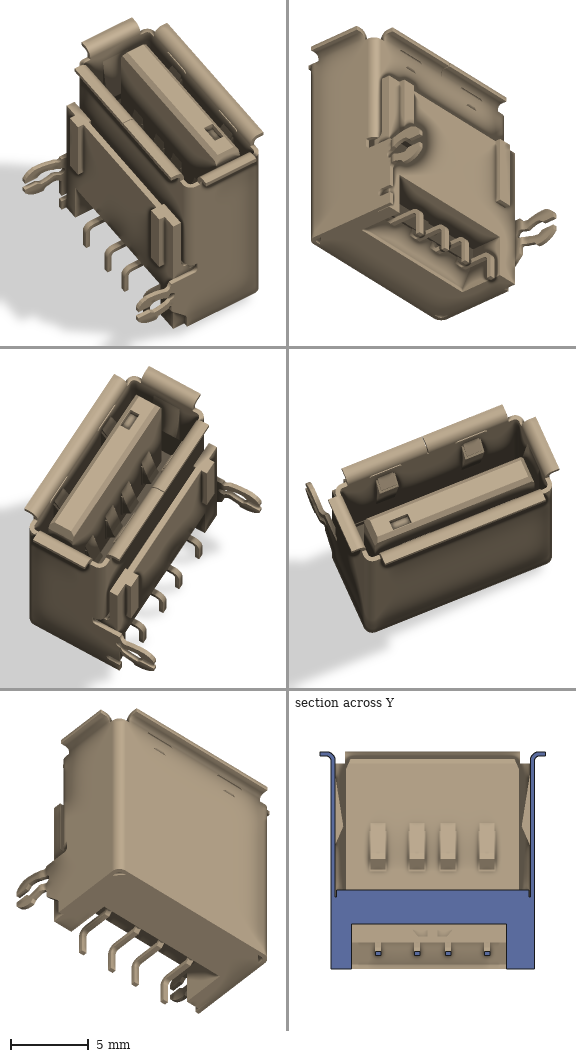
import cadquery as cq
import math

sheet = 0.3
half_width = 6.55
half_depth = 2.85
inner_half_width = half_width - sheet
inner_half_depth = half_depth - sheet
corner_radius = 0.6
rim_z = 13.2
top_z = 13.97

lip_inner_radius = 0.3
lip_outer_radius = lip_inner_radius + sheet
lip_reach = 0.7
front_lip_length = 11.22
side_lip_length = 3.87
seam_width = 0.06

front_wall_bottom_z = 5.65
panel_front_y = -4.14
panel_top_z = 4.88
relief_back_y = -2.11
relief_radius = 0.27
panel_overlap = 0.45
notch_low_z = 0.82
notch_high_z = 1.35
notch_back_y = -3.15
cutaway_top_z = 2.23
cutaway_back_y = -2.93
cutaway_corner = 0.12
cutaway_rise = cutaway_back_y - cutaway_corner - panel_front_y
tail_offset = 0.2
first_bend_offset = 0.06
first_bend_end_y = -4.3
first_bend_radius = 0.25
second_bend_end_y = -4.65
second_bend_radius = 0.55
tail_tip_y = -6.82

slot_low_z = 3.42
slot_high_z = 4.0
slot_mouth_y = -4.15
slot_root_y = -3.87
prong_inner_y = -4.61
lower_fillet = [(panel_front_y, 2.7), (-4.2, 2.83), (-4.33, 2.89)]
lower_belly = [(-4.65, 2.85), (-5.24, 2.71), (-5.4, 2.47)]
lower_tip = [(-6.23, 2.62), (tail_tip_y, 3.1)]
lower_hook = [(-5.86, slot_low_z), (-5.57, 3.2)]
lower_inner_mid = (-5.06, 3.27)
upper_inner_mid = (-5.09, 4.2)
upper_hook = [(-5.62, 4.24), (-5.9, slot_high_z)]
upper_tip = [(tail_tip_y, 4.32), (-6.7, 4.51), (-6.49, 4.7), (-6.1, 4.88)]
upper_back = [(-5.35, 4.84), (-4.65, 4.65)]
upper_fillet = [(-4.33, 4.65), (-4.2, 4.73), (panel_front_y, panel_top_z)]

floor_z = 5.1
shoulder_z = 5.57
shoulder_back_y = -2.53
floor_gap = 0.05
floor_gap_depth = 0.45
back_chamfer = 0.58
plate_half_width = 6.2
plate_back_y = -3.18
plate_front_y = -3.78
plate_top_z = 9.94
plate_root_height = 0.35
plate_root_width = 0.22
back_hollow_depth = 0.18
rib_front_y = -4.2
rib_width = 0.95
rib_outer_x = 5.21
rib_bottom_z = 5.33

recess_left_x = -5.21
recess_right_x = 4.72
recess_top_z = 2.89
recess_back_y = -1.49
slope_top_z = 1.7
slope_bottom_z = 0.28
slope_front_y = -1.34
slope_back_y = -0.6
mark_depth = 0.12
mark_inner_x = 0.31
mark_bottom_z = 2.07
mark_barb = [(0.92, mark_bottom_z), (1.34, 2.56), (1.3, 2.71), (0.98, 2.71)]
mark_neck_x = 0.95

tongue_half_width = 5.57
tongue_front_y = -0.03
tongue_back_y = 1.79
tongue_top_z = 13.48
tongue_chamfer = 0.3
tongue_end_chamfer_height = 0.67
pocket_left_x = 2.85
pocket_right_x = 4.15
pocket_front_y = 0.79
pocket_back_y = 1.46
pocket_depth = 0.54

pin_positions = (-3.5, -1.0, 1.0, 3.5)
pin_width = 0.39
pin_front_y = rib_front_y
pin_bottom_z = -0.91
pin_run_z = 1.05
pin_back_bend_y = -1.41

contact_width = 0.97
contact_root_width = 1.09
contact_root_depth = 0.13
contact_top_z = 9.37
contact_bottom_z = 6.25
contact_shoulder = (-0.58, 7.44)
contact_crest = (-0.79, 7.04)
contact_root_top_z = 8.85

spring_x = 2.99
spring_width = 1.32
spring_reach = 0.57
spring_ridge_width = 1.07
spring_wing_drop = 0.24
spring_wing_reach = 0.65
spring_crest_drop = 0.9
spring_top_z = 12.42
side_spring_width = 1.93
side_spring_reach = 0.52
side_spring_crest_drop = 3.27
spring_foot_drop = 4.46
crease_length = 2.2
crease_height = 0.13
crease_depth = 0.06
slit_top_z = 12.41
slit_bottom_z = 12.2
slit_width = 1.01
slit_depth = 0.21


def block(x0, x1, y0, y1, z0, z1):
    """Box between two opposite corners."""
    return cq.Workplane("XY").box(x1 - x0, y1 - y0, z1 - z0, centered=False).translate((x0, y0, z0))


def along_x(profile, length, centre_x=0):
    """Extrude a closed YZ profile symmetrically about centre_x."""
    return profile.extrude(length / 2, both=True).translate((centre_x, 0, 0))


def on_four_sides(front, side):
    """Mirror a front shape to the back and a +X shape to -X."""
    return front.union(front.mirror("XZ")).union(side).union(side.mirror("YZ"))


def against_front_wall(shape, wall_distance):
    """Move a shape drawn with +Y outward onto the front wall."""
    return shape.rotate((0, 0, 0), (0, 0, 1), 180).translate((0, -wall_distance, 0))


def against_side_wall(shape, wall_distance):
    """Move a shape drawn with +Y outward onto the +X wall."""
    return shape.rotate((0, 0, 0), (0, 0, 1), -90).translate((wall_distance, 0, 0))


def shell_tube():
    outer = block(-half_width, half_width, -half_depth, half_depth, 0, rim_z)
    outer = outer.edges("|Z").fillet(corner_radius)
    inner = block(-inner_half_width, inner_half_width, -inner_half_depth, inner_half_depth, 0, rim_z)
    inner = inner.edges("|Z").fillet(corner_radius - sheet)
    open_front = block(-half_width, half_width, -half_depth, relief_back_y, 0, front_wall_bottom_z)
    return outer.cut(inner).cut(open_front)


def lip(length):
    """Flared lip; Y = 0 is the outer wall face and +Y points outward."""
    bend_z = top_z - lip_outer_radius
    diagonal = math.sqrt(0.5)
    bend_y = lip_inner_radius
    profile = (
        cq.Workplane("YZ")
        .moveTo(-sheet, rim_z)
        .lineTo(-sheet, bend_z)
        .threePointArc(
            (bend_y - lip_outer_radius * diagonal, bend_z + lip_outer_radius * diagonal),
            (bend_y, top_z),
        )
        .lineTo(lip_reach, top_z)
        .lineTo(lip_reach, top_z - sheet)
        .lineTo(bend_y, top_z - sheet)
        .threePointArc(
            (bend_y - lip_inner_radius * diagonal, bend_z + lip_inner_radius * diagonal),
            (0, bend_z),
        )
        .lineTo(0, rim_z)
        .close()
    )
    return along_x(profile, length)


def lips():
    front = against_front_wall(lip(front_lip_length), half_depth)
    side = against_side_wall(lip(side_lip_length), half_width)
    seam = block(-seam_width / 2, seam_width / 2, -half_depth - lip_reach, -inner_half_depth, rim_z, top_z)
    return on_four_sides(front, side).cut(seam)


def spring(width, reach, crest_drop):
    """Spring bulge; Y = 0 is the inner wall face and -Y points inward."""
    profile = (
        cq.Workplane("YZ")
        .moveTo(0, spring_top_z)
        .lineTo(-reach, spring_top_z - crest_drop)
        .lineTo(0, spring_top_z - spring_foot_drop)
        .close()
    )
    return along_x(profile, width)


def springs():
    ridge = spring(spring_ridge_width, spring_reach, spring_crest_drop)
    wings = spring(spring_width, spring_wing_reach, spring_crest_drop)
    front = ridge.union(wings.translate((0, 0, -spring_wing_drop)))
    pair = front.translate((-spring_x, 0, 0)).union(front.translate((spring_x, 0, 0)))
    pair = against_front_wall(pair, inner_half_depth)
    side = spring(side_spring_width, side_spring_reach, side_spring_crest_drop)
    side = against_side_wall(side, inner_half_width)
    return on_four_sides(pair, side)


def trapezoid(base_width, bottom_z, height, thickness):
    """Low trapezoid on the XZ plane, 45 degree ends, thickened toward -Y."""
    half = base_width / 2
    return (
        cq.Workplane("XZ")
        .polyline([
            (-half, bottom_z),
            (half, bottom_z),
            (half - height, bottom_z + height),
            (-half + height, bottom_z + height),
        ])
        .close()
        .extrude(thickness)
    )


def slit():
    """Pocket in the outer front face with a flat floor and a leaning back."""
    shape = trapezoid(slit_width, slit_bottom_z, slit_top_z - slit_bottom_z, slit_depth)
    wedge = (
        cq.Workplane("YZ")
        .polyline([(-slit_depth, slit_bottom_z), (0, slit_bottom_z), (-slit_depth, slit_top_z)])
        .close()
    )
    return shape.intersect(along_x(wedge, slit_width)).translate((0, -half_depth + slit_depth, 0))


def crease_and_slit_details(shell):
    crease = trapezoid(crease_length, rim_z, crease_height, crease_depth)
    for x in (-spring_x, spring_x):
        groove = crease.translate((x, crease_depth - half_depth, 0))
        ridge = crease.translate((x, crease_depth - inner_half_depth, 0))
        removed = groove.union(slit().translate((x, 0, 0)))
        shell = shell.cut(removed).cut(removed.mirror("XZ"))
        shell = shell.union(ridge).union(ridge.mirror("XZ"))
    return shell


def side_panel():
    """Side panel at +X with its forked board lock."""
    notch_radius = (notch_high_z - notch_low_z) / 2
    root_y = relief_back_y + panel_overlap
    outline = (
        cq.Workplane("YZ")
        .moveTo(root_y, 0)
        .lineTo(panel_front_y, 0)
        .lineTo(panel_front_y, notch_low_z)
        .lineTo(notch_back_y - notch_radius, notch_low_z)
        .threePointArc(
            (notch_back_y, notch_low_z + notch_radius),
            (notch_back_y - notch_radius, notch_high_z),
        )
        .lineTo(panel_front_y, notch_high_z)
        .lineTo(*lower_fillet[0])
        .threePointArc(*lower_fillet[1:])
        .polyline(lower_belly, includeCurrent=True)
        .threePointArc(*lower_tip)
        .lineTo(tail_tip_y, slot_low_z)
        .polyline(lower_hook, includeCurrent=True)
        .threePointArc(lower_inner_mid, (prong_inner_y, slot_low_z))
        .lineTo(slot_mouth_y, slot_low_z)
        .threePointArc((slot_root_y, (slot_low_z + slot_high_z) / 2), (slot_mouth_y, slot_high_z))
        .lineTo(prong_inner_y, slot_high_z)
        .threePointArc(upper_inner_mid, upper_hook[0])
        .lineTo(*upper_hook[1])
        .lineTo(tail_tip_y, slot_high_z)
        .polyline(upper_tip, includeCurrent=True)
        .threePointArc(*upper_back)
        .lineTo(*upper_fillet[0])
        .threePointArc(*upper_fillet[1:])
        .lineTo(relief_back_y - relief_radius, panel_top_z)
        .radiusArc((relief_back_y, panel_top_z + relief_radius), -relief_radius)
        .lineTo(relief_back_y, front_wall_bottom_z)
        .lineTo(root_y, front_wall_bottom_z)
        .close()
        .extrude(half_width + tail_offset)
    )
    tail_x = half_width + tail_offset
    bend_x = half_width + first_bend_offset
    bent_sheet = (
        cq.Workplane("XY")
        .moveTo(inner_half_width, root_y)
        .lineTo(half_width, root_y)
        .lineTo(half_width, panel_front_y)
        .radiusArc((bend_x, first_bend_end_y), -first_bend_radius)
        .radiusArc((tail_x, second_bend_end_y), second_bend_radius)
        .lineTo(tail_x, tail_tip_y)
        .lineTo(tail_x - sheet, tail_tip_y)
        .lineTo(tail_x - sheet, second_bend_end_y)
        .radiusArc((bend_x - sheet, first_bend_end_y), -second_bend_radius)
        .radiusArc((inner_half_width, panel_front_y), first_bend_radius)
        .close()
        .extrude(front_wall_bottom_z)
    )
    return outline.intersect(bent_sheet)


def right_panel_cutaway():
    """Region removed from the lower front of the +X panel, with a sloped top."""
    return (
        cq.Workplane("YZ")
        .moveTo(panel_front_y, cutaway_top_z)
        .lineTo(cutaway_back_y - cutaway_corner, cutaway_top_z - cutaway_rise)
        .lineTo(cutaway_back_y, cutaway_top_z - cutaway_rise - 2 * cutaway_corner)
        .lineTo(cutaway_back_y, 0)
        .lineTo(panel_front_y, 0)
        .close()
        .extrude(half_width)
    )


def metal_shell():
    shell = crease_and_slit_details(shell_tube().union(lips()).union(springs()))
    panel = side_panel()
    return shell.union(panel.cut(right_panel_cutaway())).union(panel.mirror("YZ"))


def base_and_plate():
    base = block(-inner_half_width, inner_half_width, -half_depth, inner_half_depth, 0, floor_z)
    gap_z = floor_z - floor_gap_depth
    rim = block(-half_width, half_width, -half_depth, half_depth, gap_z, floor_z)
    rim_core = block(
        -inner_half_width + floor_gap, inner_half_width - floor_gap,
        -half_depth, inner_half_depth - floor_gap, gap_z, floor_z,
    )
    base = base.edges("|Z and >Y").chamfer(back_chamfer).cut(rim.cut(rim_core))
    front_profile = (
        cq.Workplane("YZ")
        .moveTo(shoulder_back_y, 0)
        .lineTo(plate_front_y, 0)
        .lineTo(plate_front_y, plate_top_z)
        .lineTo(plate_back_y, plate_top_z)
        .lineTo(plate_back_y, shoulder_z + plate_root_height)
        .lineTo(plate_back_y + plate_root_width, shoulder_z)
        .lineTo(shoulder_back_y, shoulder_z)
        .close()
    )
    hollow_half_width = rib_outer_x - rib_width
    hollow = block(
        -hollow_half_width, hollow_half_width, plate_back_y - back_hollow_depth, plate_back_y,
        shoulder_z + plate_root_height, plate_top_z,
    )
    return base.union(along_x(front_profile, 2 * plate_half_width).cut(hollow))


def plate_ribs():
    rib = block(rib_outer_x - rib_width, rib_outer_x, rib_front_y, plate_front_y, rib_bottom_z, plate_top_z)
    return rib.union(rib.mirror("YZ"))


def pin_recess():
    return (
        cq.Workplane("YZ")
        .polyline([
            (plate_front_y, 0),
            (plate_front_y, recess_top_z),
            (recess_back_y, recess_top_z),
            (recess_back_y, slope_top_z),
            (slope_front_y, slope_top_z),
            (slope_back_y, slope_bottom_z),
            (slope_back_y, 0),
        ])
        .close()
        .extrude(recess_right_x - recess_left_x)
        .translate((recess_left_x, 0, 0))
    )


def recess_marks():
    """Two mirrored shallow pockets in the back wall of the recess."""
    mark = (
        cq.Workplane("XZ")
        .polyline([
            (mark_inner_x, recess_top_z),
            (mark_inner_x, mark_bottom_z),
            *mark_barb,
            (mark_neck_x, recess_top_z),
        ])
        .close()
        .extrude(-mark_depth)
        .translate((0, recess_back_y, 0))
    )
    return mark.union(mark.mirror("YZ"))


def tongue():
    body = block(
        -tongue_half_width, tongue_half_width, tongue_front_y, tongue_back_y, floor_z, tongue_top_z
    )
    body = body.edges(">Z and |X").chamfer(tongue_chamfer)
    top_half_width = tongue_half_width - tongue_chamfer
    end_shape = (
        cq.Workplane("XZ")
        .polyline([
            (-tongue_half_width, floor_z),
            (-tongue_half_width, tongue_top_z - tongue_end_chamfer_height),
            (-top_half_width, tongue_top_z),
            (top_half_width, tongue_top_z),
            (tongue_half_width, tongue_top_z - tongue_end_chamfer_height),
            (tongue_half_width, floor_z),
        ])
        .close()
        .extrude(tongue_back_y, both=True)
    )
    body = body.intersect(end_shape)
    pocket = block(
        pocket_left_x, pocket_right_x, pocket_front_y, pocket_back_y,
        tongue_top_z - pocket_depth, tongue_top_z,
    )
    return body.cut(pocket)


def pin(x):
    """Pin dropping out of the housing, running forward and turning down."""
    inner = sheet
    outer = 2 * sheet
    low_bend_z = pin_run_z - outer
    front_bend_y = pin_front_y + outer
    back_y = pin_back_bend_y + sheet
    foot_y = pin_back_bend_y - inner
    profile = (
        cq.Workplane("YZ")
        .moveTo(pin_front_y, pin_bottom_z)
        .lineTo(pin_front_y, low_bend_z)
        .radiusArc((front_bend_y, pin_run_z), outer)
        .lineTo(foot_y, pin_run_z)
        .lineTo(pin_back_bend_y, pin_run_z + inner)
        .lineTo(pin_back_bend_y, slope_top_z)
        .lineTo(back_y, slope_top_z)
        .lineTo(back_y, pin_run_z + inner)
        .lineTo(foot_y, pin_run_z - sheet)
        .lineTo(front_bend_y, pin_run_z - sheet)
        .radiusArc((pin_front_y + sheet, low_bend_z), -inner)
        .lineTo(pin_front_y + sheet, pin_bottom_z)
        .close()
    )
    return along_x(profile, pin_width, x)


def contact(x):
    """Sprung contact bulging out of the front of the tongue."""
    profile = (
        cq.Workplane("YZ")
        .polyline([
            (tongue_front_y, contact_top_z),
            contact_shoulder,
            contact_crest,
            (tongue_front_y, contact_bottom_z),
        ])
        .close()
    )
    root = block(
        x - contact_root_width / 2, x + contact_root_width / 2,
        tongue_front_y - contact_root_depth, tongue_front_y, contact_bottom_z, contact_root_top_z,
    )
    return along_x(profile, contact_width, x).union(root)


housing = base_and_plate().union(plate_ribs()).cut(pin_recess()).cut(recess_marks()).union(tongue())
result = metal_shell().union(housing)
for pin_x in pin_positions:
    result = result.union(pin(pin_x)).union(contact(pin_x))